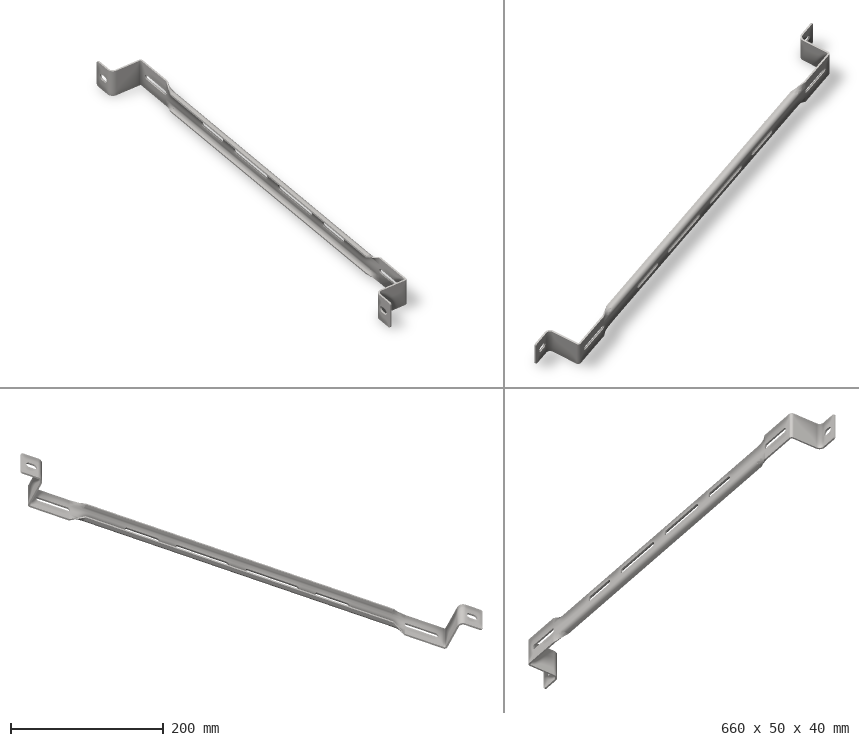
import cadquery as cq
import math

length = 660.0
depth = 50.0
width = 40.0
sheet = 2.5
half_length = length / 2

leg_inset = 30.3
foot_outer_radius = 8.5
web_outer_radius = 4.0
tab_corner_radius = 3.0

flat_end_inset = 90.0
channel_start_inset = 110.0
channel_width = 29.6
channel_depth = 10.0
channel_outer_radius = 5.0
lip_splay = 6.0
flat_end_x = half_length - flat_end_inset
channel_end_x = half_length - channel_start_inset

slot_height = 7.0
tab_hole = (half_length - 15.0, 15.0, 9.0)
end_slot = (half_length - 66.5, 48.0, slot_height)
outer_slot = (half_length - 194.0, 49.0, slot_height)
inner_slot = (half_length - 280.0, 76.0, slot_height)

lip_bend_angle = math.radians(90 - lip_splay)
lip_dir = (-math.sin(lip_bend_angle), math.cos(lip_bend_angle))
bend_drop = channel_outer_radius * (1 - math.cos(lip_bend_angle))
edge_drop = sheet * math.cos(lip_bend_angle)
lip_straight = (channel_depth - bend_drop - edge_drop) / math.sin(lip_bend_angle)
bend_centre_y = depth - channel_outer_radius
bend_reach = channel_outer_radius * math.sin(lip_bend_angle)
bend_centre_z = channel_width / 2 - bend_reach - lip_straight * lip_dir[1]


def mirrored_pair(body):
    """The body together with its mirror image across the middle of the bar."""
    return body.union(body.mirror("YZ"))


def end_bracket():
    """Foot tab, leg and flat web at the +X end, up to where the channel begins to form."""
    leg_out = half_length - leg_inset
    leg_in = leg_out - sheet
    foot_inner_radius = foot_outer_radius - sheet
    web_inner_radius = web_outer_radius - sheet
    profile = (
        cq.Workplane("XY")
        .moveTo(half_length, 0)
        .lineTo(leg_in + foot_outer_radius, 0)
        .radiusArc((leg_in, foot_outer_radius), foot_outer_radius)
        .lineTo(leg_in, depth - sheet - web_inner_radius)
        .radiusArc((leg_in - web_inner_radius, depth - sheet), -web_inner_radius)
        .lineTo(flat_end_x, depth - sheet)
        .lineTo(flat_end_x, depth)
        .lineTo(leg_out - web_outer_radius, depth)
        .radiusArc((leg_out, depth - web_outer_radius), web_outer_radius)
        .lineTo(leg_out, foot_outer_radius)
        .radiusArc((leg_out + foot_inner_radius, sheet), -foot_inner_radius)
        .lineTo(half_length, sheet)
        .close()
    )
    strip = profile.extrude(width / 2, both=True)
    return strip.edges("|Y and >X").fillet(tab_corner_radius)


def lip_points(offset):
    """(y, z) points along the upper lip on the line lying `offset` below the outer face.

    They mark the start, middle and end of the bend, and the free edge of the lip.
    """
    radius = channel_outer_radius - offset
    bend = [
        (bend_centre_y + radius * math.cos(angle), bend_centre_z + radius * math.sin(angle))
        for angle in (0, lip_bend_angle / 2, lip_bend_angle)
    ]
    bend_end_y, bend_end_z = bend[-1]
    edge = (bend_end_y + lip_straight * lip_dir[0], bend_end_z + lip_straight * lip_dir[1])
    return bend + [edge]


def lip_section(x):
    """Section of the upper lip at the given x: a bend and a straight, slightly splayed edge."""
    outer_start, outer_mid, outer_end, outer_edge = lip_points(0)
    inner_start, inner_mid, inner_end, inner_edge = lip_points(sheet)
    return (
        cq.Workplane("YZ", origin=(x, 0, 0))
        .moveTo(*outer_start)
        .threePointArc(outer_mid, outer_end)
        .lineTo(*outer_edge)
        .lineTo(*inner_edge)
        .lineTo(*inner_end)
        .threePointArc(inner_mid, inner_start)
        .close()
    )


def smooth_lip_section(x):
    """The lip section with each face as one smooth curve, so that its transition has no ridge."""
    outer = lip_points(0)
    inner = lip_points(sheet)[::-1]
    away_from_lip = (-lip_dir[0], -lip_dir[1])
    return (
        cq.Workplane("YZ", origin=(x, 0, 0))
        .moveTo(*outer[0])
        .spline(outer[1:], tangents=[(0, 1), lip_dir], includeCurrent=True)
        .lineTo(*inner[0])
        .spline(inner[1:], tangents=[away_from_lip, (0, -1)], includeCurrent=True)
        .close()
    )


def flat_section(x):
    """Section of the unbent strip at the given x, outside the channel web."""
    return (
        cq.Workplane("YZ", origin=(x, 0, 0))
        .moveTo(depth, bend_centre_z)
        .lineTo(depth, width / 2)
        .lineTo(depth - sheet, width / 2)
        .lineTo(depth - sheet, bend_centre_z)
        .close()
    )


def channel_lip():
    """Straight upper lip of the channel with a tapering transition at each end."""
    straight = lip_section(-channel_end_x).extrude(2 * channel_end_x)
    transition = cq.Solid.makeLoft(
        [flat_section(flat_end_x).val(), smooth_lip_section(channel_end_x).val()], True
    )
    return straight.union(mirrored_pair(cq.Workplane(transition)))


def channel():
    """Flat channel web with a lip along both edges."""
    web = cq.Workplane("XY").box(2 * flat_end_x, sheet, 2 * bend_centre_z)
    web = web.translate((0, depth - sheet / 2, 0))
    lip = channel_lip()
    return web.union(lip).union(lip.mirror("XY"))


def opening(centre_x, slot_length, height):
    """Round-ended cutter running through the whole depth of the part."""
    cutter = cq.Workplane("XZ").center(centre_x, 0).slot2D(slot_length, height)
    return cutter.extrude(-depth)


result = mirrored_pair(end_bracket()).union(channel())
for slot in (tab_hole, end_slot, outer_slot, inner_slot):
    result = result.cut(mirrored_pair(opening(*slot)))